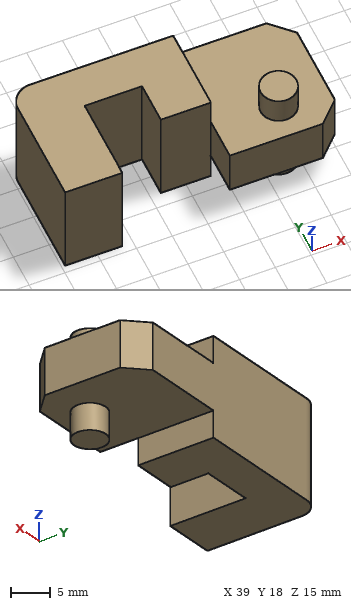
import cadquery as cq

height = 15.0
depth = 18.0
hook_length = 23.0
arm_width = 8.0
slot_width = 8.0
slot_floor_y = 12.0
short_arm_end_y = 6.0
corner_radius = 3.0

total_length = 39.0
tongue_thickness = 7.0
tongue_bottom_z = (height - tongue_thickness) / 2
tongue_chamfer = 3.0

pin_diameter = 5.0
pin_x = 32.0
pin_y = 5.0


def make_hook():
    """J-shaped block with a rounded outer back corner."""
    slot_end_x = arm_width + slot_width
    outline = [
        (0, 0),
        (arm_width, 0),
        (arm_width, slot_floor_y),
        (slot_end_x, slot_floor_y),
        (slot_end_x, short_arm_end_y),
        (hook_length, short_arm_end_y),
        (hook_length, depth),
        (0, depth),
    ]
    block = cq.Workplane("XY").polyline(outline).close().extrude(height)
    return block.edges("|Z and (<X and >Y)").fillet(corner_radius)


def make_tongue():
    """Thin plate at mid height with both free corners chamfered."""
    plate = (
        cq.Workplane("XY", origin=(hook_length, 0, tongue_bottom_z))
        .box(total_length - hook_length, depth, tongue_thickness, centered=False)
    )
    return plate.faces(">X").edges("|Z").chamfer(tongue_chamfer)


def make_pin():
    """Round pin standing out above and below the tongue."""
    return cq.Workplane("XY", origin=(pin_x, pin_y, 0)).circle(pin_diameter / 2).extrude(height)


result = make_hook().union(make_tongue()).union(make_pin())